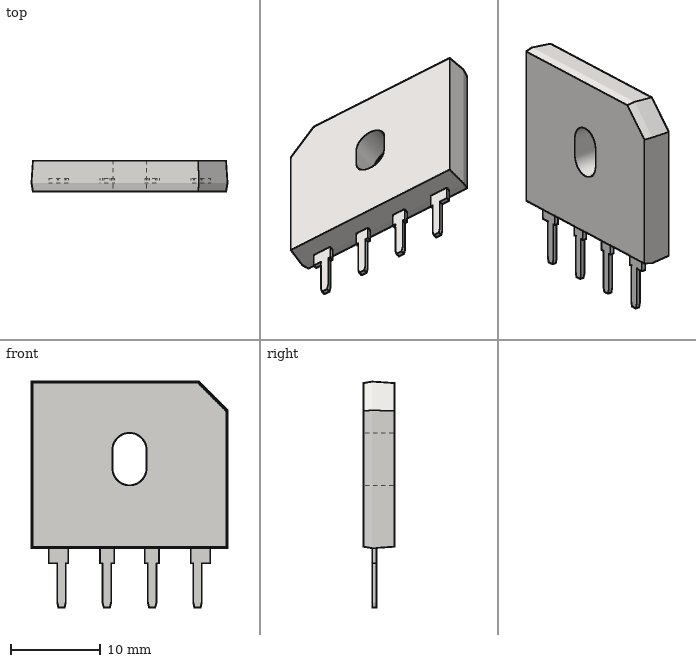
import cadquery as cq
import math

body_width = 22.0
body_height = 18.7
corner_cut = 3.23
front_depth = 0.98
back_depth = 2.5
draft_inset = 0.17

slot_width = 3.8
slot_height = 5.85
slot_below_top = 8.7

overall_height = 25.35
lead_length = overall_height - body_height
lead_pitch = 5.08
lead_width = 1.0
lead_thickness = 0.5
tip_width = 0.7
tip_length = 0.6
lead_embed = 1.0

shoulder_length = 1.68
outer_lead_outward_step = 0.95
outer_lead_inward_step = 0.27
inner_lead_outward_step = 0.27
inner_lead_inward_step = 0.35


def make_body_half(depth, toward_front):
    """Drafted half of the body, from the parting plane to its front or back face."""
    half_width = body_width / 2
    draft_angle = math.degrees(math.atan2(draft_inset, depth))
    outline = [
        (-half_width, 0),
        (half_width, 0),
        (half_width, body_height - corner_cut),
        (half_width - corner_cut, body_height),
        (-half_width, body_height),
    ]
    distance = depth if toward_front else -depth
    return cq.Workplane("XZ").polyline(outline).close().extrude(distance, taper=draft_angle)


def make_slot():
    """Upright round-ended cutter that passes through the full body depth."""
    return (
        cq.Workplane("XZ", origin=(0, back_depth, 0))
        .center(0, body_height - slot_below_top)
        .slot2D(slot_height, slot_width, 90)
        .extrude(front_depth + back_depth)
    )


def make_lead(center_x, outward_step, inward_step):
    """Flat lead on the +X side, with a wide root, a straight shank and a tapered tip."""
    inner_side = center_x - lead_width / 2
    outer_side = center_x + lead_width / 2
    return (
        cq.Workplane("XZ")
        .moveTo(inner_side - inward_step, lead_embed)
        .lineTo(inner_side - inward_step, -shoulder_length)
        .lineTo(inner_side, -shoulder_length)
        .lineTo(inner_side, tip_length - lead_length)
        .lineTo(center_x - tip_width / 2, -lead_length)
        .lineTo(center_x + tip_width / 2, -lead_length)
        .lineTo(outer_side, tip_length - lead_length)
        .lineTo(outer_side, -shoulder_length)
        .lineTo(outer_side + outward_step, -shoulder_length)
        .lineTo(outer_side + outward_step, lead_embed)
        .close()
        .extrude(-lead_thickness)
    )


front_half = make_body_half(front_depth, toward_front=True)
back_half = make_body_half(back_depth, toward_front=False)
result = front_half.union(back_half).cut(make_slot())

right_leads = [
    make_lead(lead_pitch / 2, inner_lead_outward_step, inner_lead_inward_step),
    make_lead(lead_pitch * 3 / 2, outer_lead_outward_step, outer_lead_inward_step),
]
for lead in right_leads:
    result = result.union(lead).union(lead.mirror("YZ"))